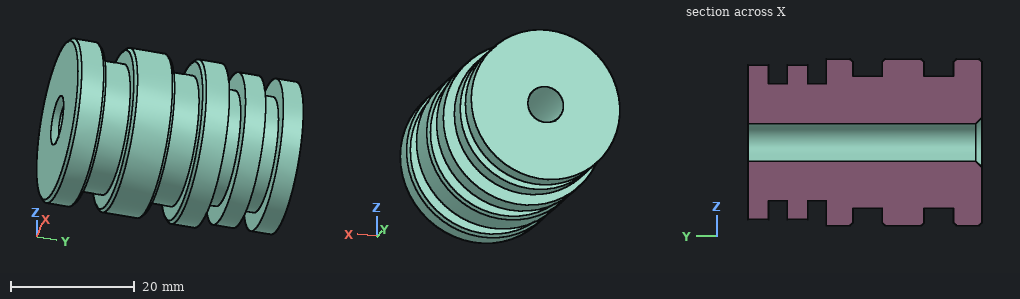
import cadquery as cq

length = 37.8
flange_radius = 13.5
flange_chamfer = 0.5
groove_radius = 10.75
disc_radius = 12.5
neck_radius = 9.5

front_flange_width = 4.65
groove_width = 4.7
middle_flange_width = 6.8
rear_flange_width = 4.35
neck_width = 2.95
disc_width = 3.35

bore_radius = 3.0
mouth_radius = 4.0
mouth_depth = mouth_radius - bore_radius

front_y = -length / 2


def cylinder(radius, start, width):
    """Solid cylinder along +Y whose front face is at y = start."""
    return cq.Workplane("XZ", origin=(0, start, 0)).circle(radius).extrude(-width)


middle_flange_start = front_y + front_flange_width + groove_width
rear_flange_start = middle_flange_start + middle_flange_width + groove_width
rear_flange_end = rear_flange_start + rear_flange_width
inner_disc_start = rear_flange_end + neck_width
end_disc_start = length / 2 - disc_width

body = cylinder(groove_radius, front_y, rear_flange_end - front_y)
body = body.union(cylinder(neck_radius, rear_flange_start, length / 2 - rear_flange_start))

for start, width in (
    (front_y, front_flange_width),
    (middle_flange_start, middle_flange_width),
):
    body = body.union(cylinder(flange_radius, start, width).edges().chamfer(flange_chamfer))

rear_flange = cylinder(flange_radius, rear_flange_start, rear_flange_width)
body = body.union(rear_flange.faces("<Y").edges().chamfer(flange_chamfer))

for start in (inner_disc_start, end_disc_start):
    body = body.union(cylinder(disc_radius, start, disc_width))

body = body.cut(cylinder(bore_radius, front_y, length))
mouth = cq.Solid.makeCone(
    mouth_radius, bore_radius, mouth_depth, pnt=cq.Vector(0, front_y, 0), dir=cq.Vector(0, 1, 0)
)
result = body.cut(cq.Workplane(obj=mouth))